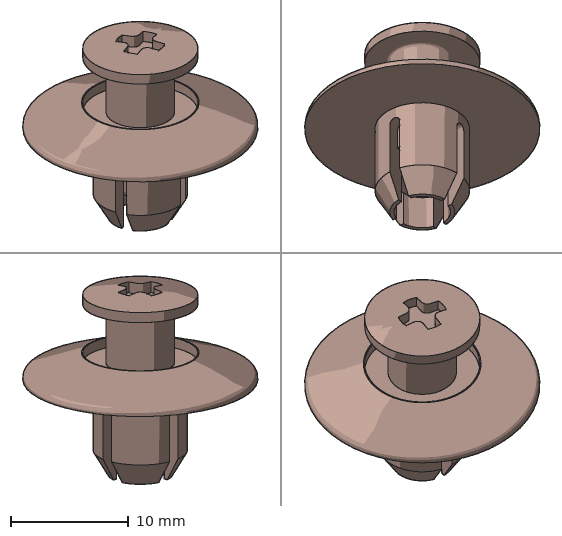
import cadquery as cq
import math


flange_radius = 10.0
flange_edge_height = 0.18
rim_radius = 9.75
rim_height = 0.65
cone_top_radius = 5.0
flange_height = 2.4
recess_radius = 4.9
recess_floor_z = 1.5

barrel_radius = 4.02
barrel_end_z = -6.35
tip_radius = 2.75
tip_z = -8.5
slot_width = 1.02
slot_top_z = -1.05

shank_radius = 2.92
shank_step_z = -3.25
stem_radius = 2.4
stem_top_z = -3.45
pin_end_z = -5.8
end_round = 0.78
head_radius = recess_radius
head_bottom_z = 6.72
head_edge_z = 7.62
dome_height = 0.62
neck_fillet = 0.28

cross_radius = 2.08
cross_arm_width = 1.28
cross_corner_radius = 0.6
cross_floor_z = 7.15


def revolve_profile(profile):
    """Turn a closed half profile, drawn in XZ, into a solid about Z."""
    return profile.close().revolve(360, (0, 0, 0), (0, 1, 0))


def make_housing_blank():
    """Flange, barrel, head recess and stepped bore."""
    profile = (
        cq.Workplane("XZ")
        .moveTo(stem_radius, tip_z)
        .lineTo(tip_radius, tip_z)
        .lineTo(barrel_radius, barrel_end_z)
        .lineTo(barrel_radius, 0)
        .lineTo(flange_radius, 0)
        .lineTo(flange_radius, flange_edge_height)
        .tangentArcPoint((rim_radius, rim_height), relative=False)
        .lineTo(cone_top_radius, flange_height)
        .lineTo(recess_radius, flange_height)
        .lineTo(recess_radius, recess_floor_z)
        .lineTo(shank_radius, recess_floor_z)
        .lineTo(shank_radius, shank_step_z)
        .lineTo(stem_radius, stem_top_z)
    )
    return revolve_profile(profile)


def make_leg_slot():
    """Round-topped slot along Y, open at the tip and wide enough to cross the barrel."""
    half_width = slot_width / 2
    shoulder_z = slot_top_z - half_width
    return (
        cq.Workplane("XZ")
        .moveTo(-half_width, tip_z)
        .lineTo(half_width, tip_z)
        .lineTo(half_width, shoulder_z)
        .threePointArc((0, slot_top_z), (-half_width, shoulder_z))
        .close()
        .extrude(barrel_radius, both=True)
    )


def make_housing():
    """Housing whose barrel is split into four legs by two crossing slots."""
    housing = make_housing_blank()
    for angle in (0, 90):
        housing = housing.cut(make_leg_slot().rotate((0, 0, 0), (0, 0, 1), angle))
    return housing


def make_cross_recess():
    """Cross with rounded inner corners and arm ends on a common circle."""
    depth = 2 * (head_edge_z + dome_height - cross_floor_z)
    base = cq.Workplane("XY").workplane(offset=cross_floor_z)
    arm_length = 2 * (cross_radius + cross_arm_width)
    cross = (
        base.rect(arm_length, cross_arm_width).extrude(depth)
        .union(base.rect(cross_arm_width, arm_length).extrude(depth))
    )
    inner_corner = cross_arm_width / 2 + cross_corner_radius / 2
    corner_box = cq.selectors.BoxSelector(
        (-inner_corner, -inner_corner, cross_floor_z),
        (inner_corner, inner_corner, cross_floor_z + depth),
    )
    cross = cross.edges("|Z").edges(corner_box).fillet(cross_corner_radius)
    return cross.intersect(base.circle(cross_radius).extrude(depth))


def make_pin():
    """Domed head on a shank that steps down to a round-ended stem."""
    dome_sphere_radius = (head_radius**2 + dome_height**2) / (2 * dome_height)
    dome_mid_radius = head_radius / 2
    dome_center_z = head_edge_z + dome_height - dome_sphere_radius
    dome_mid_z = dome_center_z + math.sqrt(dome_sphere_radius**2 - dome_mid_radius**2)
    arc_offset = math.sqrt(0.5)
    end_mid = (
        stem_radius - end_round * (1 - arc_offset),
        pin_end_z + end_round * (1 - arc_offset),
    )
    neck_mid = (
        shank_radius + neck_fillet * (1 - arc_offset),
        head_bottom_z - neck_fillet * (1 - arc_offset),
    )
    profile = (
        cq.Workplane("XZ")
        .moveTo(0, pin_end_z)
        .lineTo(stem_radius - end_round, pin_end_z)
        .threePointArc(end_mid, (stem_radius, pin_end_z + end_round))
        .lineTo(stem_radius, stem_top_z)
        .lineTo(shank_radius, shank_step_z)
        .lineTo(shank_radius, head_bottom_z - neck_fillet)
        .threePointArc(neck_mid, (shank_radius + neck_fillet, head_bottom_z))
        .lineTo(head_radius, head_bottom_z)
        .lineTo(head_radius, head_edge_z)
        .threePointArc((dome_mid_radius, dome_mid_z), (0, head_edge_z + dome_height))
    )
    return revolve_profile(profile).cut(make_cross_recess())


housing = make_housing()
pin = make_pin()

result = cq.Compound.makeCompound([housing.val(), pin.val()])